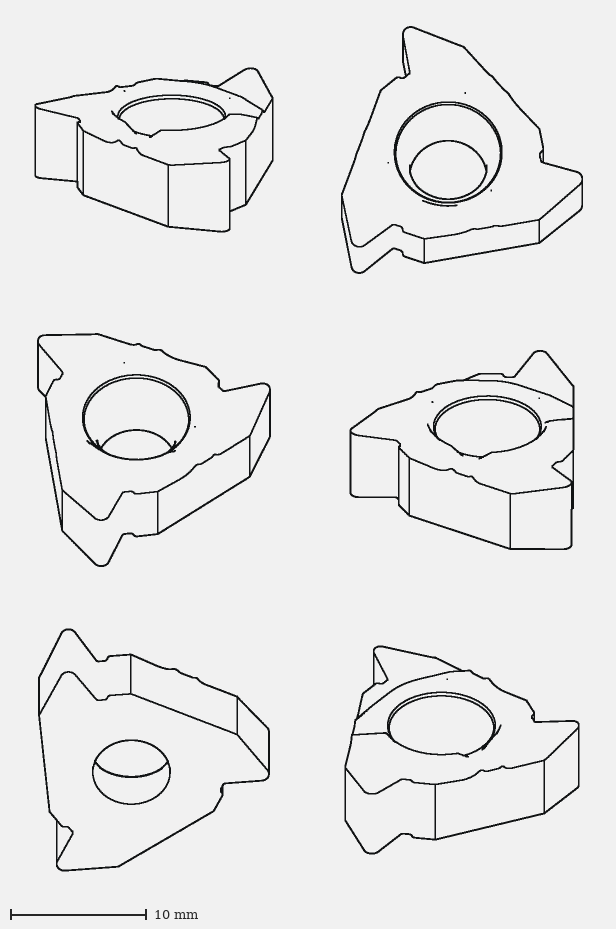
import cadquery as cq
import math

TURNS = (0, 120, 240)
HEIGHT = 6.05
REACH = 26.45
TOLERANCE = 0.002

SIDE_DISTANCE = 6.33
SIDE_NORMAL_ANGLE = 60
TIP_X = -3.86
TIP_Y = -8.73
TIP_RADIUS = 0.6
FLANK_ANGLE = 60
ROOT_RADIUS = 0.21
NOTCH_Y = -6.61
STEP_START_X = -1.41
STEP_END_X = -0.92
SHOULDER_Y = -6.96

FLOOR_Z = 4.97
RAKE_START = 5.89
RAKE_ANGLE = 10.2
RAKE_BEND_RADIUS = 0.42

ISLAND_TOP_RADIUS = 4.81
ISLAND_ARC = 30
ISLAND_CORNER_HALF = (120 - ISLAND_ARC) / 2
ISLAND_DRAFT = 33
ISLAND_FOOT_RADIUS = 0.65

GROOVE_ANGLE = 74
GROOVE_FLOOR_Z = 5.24
GROOVE_FLOOR_HALF = 0.51
GROOVE_TOP_HALF = 1.53

RIDGE_RADIUS = 0.18
INNER_CORNER_RADIUS = 0.14
INNER_FOOT_RADIUS = 0.21
TOP_EDGE_RADIUS = 0.09

BORE_RADIUS = 5.7 / 2
FLARE_START_Z = 2.27
FLARE_TOP_Z = 4.99
FLARE_TOP_RADIUS = 3.86
LIP_RADIUS = 3.97
RECESS_FLOOR_RADIUS = 4.21
RECESS_TOP_RADIUS = 4.5


def polar(radius, angle):
    """Point at a radius and an angle in degrees."""
    turn = math.radians(angle)
    return radius * math.cos(turn), radius * math.sin(turn)


def turned(x, y, angle):
    """Point turned about the bore axis."""
    c = math.cos(math.radians(angle))
    s = math.sin(math.radians(angle))
    return x * c - y * s, x * s + y * c


def body_prism():
    """Vertical walls of the insert: three long sides, teeth, notches and shoulders."""
    sin_f = math.sin(math.radians(FLANK_ANGLE))
    cos_f = math.cos(math.radians(FLANK_ANGLE))
    sin_side = math.sin(math.radians(SIDE_NORMAL_ANGLE))
    cos_side = math.cos(math.radians(SIDE_NORMAL_ANGLE))
    tip_half = TIP_RADIUS * sin_f
    tangent_y = TIP_Y - TIP_RADIUS * cos_f
    slope = math.tan(math.radians(FLANK_ANGLE))
    left_tangent_x = TIP_X - tip_half
    right_tangent_x = TIP_X + tip_half
    corner_y = tangent_y + (left_tangent_x + SIDE_DISTANCE) * slope
    root_x = right_tangent_x + (NOTCH_Y - tangent_y) / slope
    root_setback = ROOT_RADIUS * math.tan(math.radians(FLANK_ANGLE / 2))
    shoulder_end_x = (SIDE_DISTANCE + SHOULDER_Y * sin_side) / cos_side
    step_mid = ((STEP_START_X + STEP_END_X) / 2, (NOTCH_Y + SHOULDER_Y) / 2)

    path = cq.Workplane("XY").moveTo(-SIDE_DISTANCE, corner_y)
    for turn in TURNS:
        path = (
            path.lineTo(*turned(left_tangent_x, tangent_y, turn))
            .tangentArcPoint(turned(right_tangent_x, tangent_y, turn), relative=False)
            .lineTo(*turned(root_x - root_setback * cos_f, NOTCH_Y - root_setback * sin_f, turn))
            .tangentArcPoint(turned(root_x + root_setback, NOTCH_Y, turn), relative=False)
            .lineTo(*turned(STEP_START_X, NOTCH_Y, turn))
            .tangentArcPoint(turned(*step_mid, turn), relative=False)
            .tangentArcPoint(turned(STEP_END_X, SHOULDER_Y, turn), relative=False)
            .lineTo(*turned(shoulder_end_x, SHOULDER_Y, turn))
        )
        if turn != TURNS[-1]:
            path = path.lineTo(*turned(-SIDE_DISTANCE, corner_y, turn + 120))
    return path.close().extrude(HEIGHT)


def floor_with_island():
    """Chip floor carrying the drafted island, blended at the foot."""
    draft_run = (HEIGHT - FLOOR_Z) * math.tan(math.radians(ISLAND_DRAFT))
    foot = ISLAND_TOP_RADIUS + draft_run
    corner = foot / math.cos(math.radians(ISLAND_CORNER_HALF))
    path = cq.Workplane("XY").workplane(offset=FLOOR_Z).moveTo(*polar(corner, -ISLAND_CORNER_HALF))
    for turn in TURNS:
        path = (
            path.lineTo(*polar(foot, turn))
            .threePointArc(polar(foot, turn + ISLAND_ARC / 2), polar(foot, turn + ISLAND_ARC))
        )
        if turn != TURNS[-1]:
            path = path.lineTo(*polar(corner, turn + ISLAND_ARC + ISLAND_CORNER_HALF))
    island = path.close().extrude(HEIGHT - FLOOR_Z, taper=ISLAND_DRAFT)
    plate = cq.Workplane("XY").circle(REACH / 2).extrude(FLOOR_Z)
    blank = plate.union(island)
    foot_box = cq.selectors.BoxSelector(
        (-corner, -corner, FLOOR_Z - TOLERANCE), (corner, corner, FLOOR_Z + TOLERANCE), boundingbox=True
    )
    return blank.edges(foot_box).fillet(ISLAND_FOOT_RADIUS)


def rake_wedge():
    """Material under the rake face of the tooth that points to -Y."""
    angle = math.radians(RAKE_ANGLE)
    setback = RAKE_BEND_RADIUS * math.tan(angle / 2)
    far = REACH / 2
    far_z = FLOOR_Z + (far - RAKE_START) * math.tan(angle)
    bend_start = (-RAKE_START + setback, FLOOR_Z)
    bend_end = (-RAKE_START - setback * math.cos(angle), FLOOR_Z + setback * math.sin(angle))
    return (
        cq.Workplane("YZ")
        .moveTo(-far, 0)
        .lineTo(-far, far_z)
        .lineTo(*bend_end)
        .tangentArcPoint(bend_start, relative=False)
        .lineTo(bend_start[0], 0)
        .close()
        .extrude(REACH / 2, both=True)
    )


def groove():
    """Trough from the axis outward along +X, with sloping walls."""
    depth = HEIGHT - GROOVE_FLOOR_Z
    wall_run = GROOVE_TOP_HALF - GROOVE_FLOOR_HALF
    return (
        cq.Workplane("YZ")
        .polyline([
            (-GROOVE_FLOOR_HALF, GROOVE_FLOOR_Z),
            (GROOVE_FLOOR_HALF, GROOVE_FLOOR_Z),
            (GROOVE_TOP_HALF + wall_run, HEIGHT + depth),
            (-GROOVE_TOP_HALF - wall_run, HEIGHT + depth),
        ])
        .close()
        .extrude(REACH / 2)
    )


def rising_arc_radius(run, rise):
    """Radius of an arc that starts vertical and moves sideways by run over the given rise."""
    return (run ** 2 + rise ** 2) / (2 * run)


def bore():
    """Through bore, flared mouth and the recess inside the island."""
    flare_arc = rising_arc_radius(FLARE_TOP_RADIUS - BORE_RADIUS, FLARE_TOP_Z - FLARE_START_Z)
    lip_arc = rising_arc_radius(LIP_RADIUS - FLARE_TOP_RADIUS, GROOVE_FLOOR_Z - FLARE_TOP_Z)
    return (
        cq.Workplane("XZ")
        .lineTo(BORE_RADIUS, 0)
        .lineTo(BORE_RADIUS, FLARE_START_Z)
        .radiusArc((FLARE_TOP_RADIUS, FLARE_TOP_Z), flare_arc)
        .radiusArc((LIP_RADIUS, GROOVE_FLOOR_Z), lip_arc)
        .lineTo(RECESS_FLOOR_RADIUS, GROOVE_FLOOR_Z)
        .lineTo(RECESS_TOP_RADIUS, HEIGHT)
        .lineTo(0, HEIGHT)
        .close()
        .revolve(360, (0, 0, 0), (0, 1, 0))
    )


def ends_by_height(edge):
    """Lower and upper end of an edge."""
    return sorted([edge.startPoint(), edge.endPoint()], key=lambda point: point.z)


def axis_distance(point):
    """Distance of a point from the bore axis."""
    return math.hypot(point.x, point.y)


def leaves_top(edge):
    """True for an edge that runs down from the island top."""
    low, high = ends_by_height(edge)
    return abs(high.z - HEIGHT) < TOLERANCE and low.z < HEIGHT - TOLERANCE


def is_ridge(edge):
    """True where a groove wall meets the outer island wall."""
    return leaves_top(edge) and axis_distance(ends_by_height(edge)[1]) > ISLAND_TOP_RADIUS + TOLERANCE


def is_inner_corner(edge):
    """True where a groove wall meets the recess wall."""
    return leaves_top(edge) and axis_distance(ends_by_height(edge)[1]) < RECESS_TOP_RADIUS + TOLERANCE


def is_inner_foot(edge):
    """True along the floor of the grooves and the recess, between the bore lip and the long sides."""
    low, high = ends_by_height(edge)
    middle = edge.positionAt(0.5)
    on_floor = all(abs(point.z - GROOVE_FLOOR_Z) < TOLERANCE for point in (low, middle, high))
    return on_floor and LIP_RADIUS + TOLERANCE < axis_distance(middle) < SIDE_DISTANCE - TOLERANCE


top_form = floor_with_island()
for turn in TURNS:
    top_form = top_form.union(rake_wedge().rotate((0, 0, 0), (0, 0, 1), turn))
for turn in TURNS:
    top_form = top_form.cut(groove().rotate((0, 0, 0), (0, 0, 1), GROOVE_ANGLE + turn))
insert = body_prism().intersect(top_form).cut(bore())
insert = insert.edges().filter(is_inner_corner).fillet(INNER_CORNER_RADIUS)
insert = insert.edges().filter(is_inner_foot).fillet(INNER_FOOT_RADIUS)
insert = insert.edges().filter(is_ridge).fillet(RIDGE_RADIUS)
result = insert.faces(">Z").edges().fillet(TOP_EDGE_RADIUS)